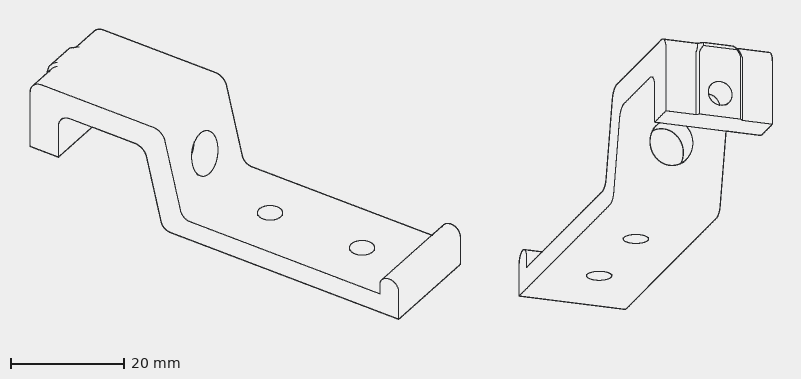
import cadquery as cq
import math

length = 78.45
width = 20.0
height = 21.5

pad_height = 0.5
hook_inner_x = 6.5
hook_drop = 14.35
top_thickness = 5.0
bend_radius = 2.5

web_corner_x = 28.55
web_angle = 13.4
web_width_x = 5.1
base_bend_radius = 2.05

base_thickness = 4.0
lip_width = 4.0
lip_height = 8.0

screw_diameter = 4.5
access_diameter = 8.0
hook_hole_z = 11.5
base_hole_x = (44.7, 64.2)

pad_half_width = 3.85
pad_arc_center_x = 2.2
pad_shoulder_drop = 2.5
pad_shoulder_inset = 3.5


def bracket_body():
    """Constant-section strip: hook, sloping web and base, with rounded bends."""
    slope = math.tan(math.radians(web_angle))

    def web_outer_x(z):
        return web_corner_x + (height - z) * slope

    ceiling_z = height - top_thickness
    corners = [
        (pad_height, height - hook_drop),
        (pad_height, height),
        (web_corner_x, height),
        (web_outer_x(base_thickness), base_thickness),
        (length - lip_width, base_thickness),
        (length - lip_width, lip_height),
        (length, lip_height),
        (length, 0),
        (web_outer_x(0) - web_width_x, 0),
        (web_outer_x(ceiling_z) - web_width_x, ceiling_z),
        (hook_inner_x, ceiling_z),
        (hook_inner_x, height - hook_drop),
    ]
    body = cq.Workplane("XZ", origin=(0, width / 2, 0)).polyline(corners).close().extrude(width)

    def round_bends(solid, bends, radius):
        for x, z in bends:
            edge = cq.selectors.NearestToPointSelector((x, 0, z))
            solid = solid.edges("|Y").edges(edge).fillet(radius)
        return solid

    body = round_bends(body, [corners[i] for i in (1, 2, 9, 10)], bend_radius)
    body = round_bends(body, [corners[i] for i in (3, 8)], base_bend_radius)

    lip_radius = lip_width / 2
    lip_plane = cq.Workplane("XZ", origin=(length - lip_radius, width / 2, lip_height - lip_radius))
    lip_block = lip_plane.center(0, lip_radius / 2).rect(lip_width, lip_radius).extrude(width)
    lip_round = lip_plane.circle(lip_radius).extrude(width)
    return body.cut(lip_block).union(lip_round)


def pad_half():
    """The +Y half of the pad: a rounded side section trimmed by a flaring prism."""
    bottom_z = height - hook_drop
    depth = pad_height + bend_radius
    arc_center_z = height - bend_radius
    arc_start_z = arc_center_z + math.sqrt(bend_radius**2 - pad_arc_center_x**2)
    arc_mid_angle = (math.pi / 2 + math.atan2(arc_start_z - arc_center_z, -pad_arc_center_x)) / 2
    arc_mid = (
        pad_arc_center_x + bend_radius * math.cos(arc_mid_angle),
        arc_center_z + bend_radius * math.sin(arc_mid_angle),
    )
    section = (
        cq.Workplane("XZ")
        .moveTo(0, bottom_z)
        .lineTo(0, arc_start_z)
        .threePointArc(arc_mid, (pad_arc_center_x, height))
        .lineTo(depth, height)
        .lineTo(depth, bottom_z)
        .close()
        .extrude(-width / 2)
    )
    shoulder_radius = (pad_shoulder_inset**2 + pad_shoulder_drop**2) / (2 * pad_shoulder_drop)
    outline = (
        cq.Workplane("YZ")
        .moveTo(-depth, bottom_z)
        .lineTo(pad_half_width, bottom_z)
        .lineTo(pad_half_width, height - pad_shoulder_drop)
        .radiusArc((pad_half_width - pad_shoulder_inset, height), -shoulder_radius)
        .lineTo(-depth, height)
        .close()
    )
    flare = cq.Solid.extrudeLinear(outline.wire().val(), [], cq.Vector(depth, depth, 0))
    return section.intersect(cq.Workplane(obj=flare))


def cross_hole(diameter, start_x, end_x):
    """Cutter along X at the hook hole's height."""
    return (
        cq.Workplane("YZ", origin=(start_x, 0, hook_hole_z))
        .circle(diameter / 2)
        .extrude(end_x - start_x)
    )


half = pad_half()
pad = half.union(half.mirror("XZ")).clean()
result = bracket_body().union(pad).clean()

hook_gap_middle = (hook_inner_x + web_corner_x - web_width_x) / 2
result = result.cut(cross_hole(screw_diameter, 0, hook_gap_middle))
result = result.cut(cross_hole(access_diameter, hook_gap_middle, base_hole_x[0]))

for hole_x in base_hole_x:
    hole = cq.Workplane("XY").center(hole_x, 0).circle(screw_diameter / 2).extrude(base_thickness)
    result = result.cut(hole)